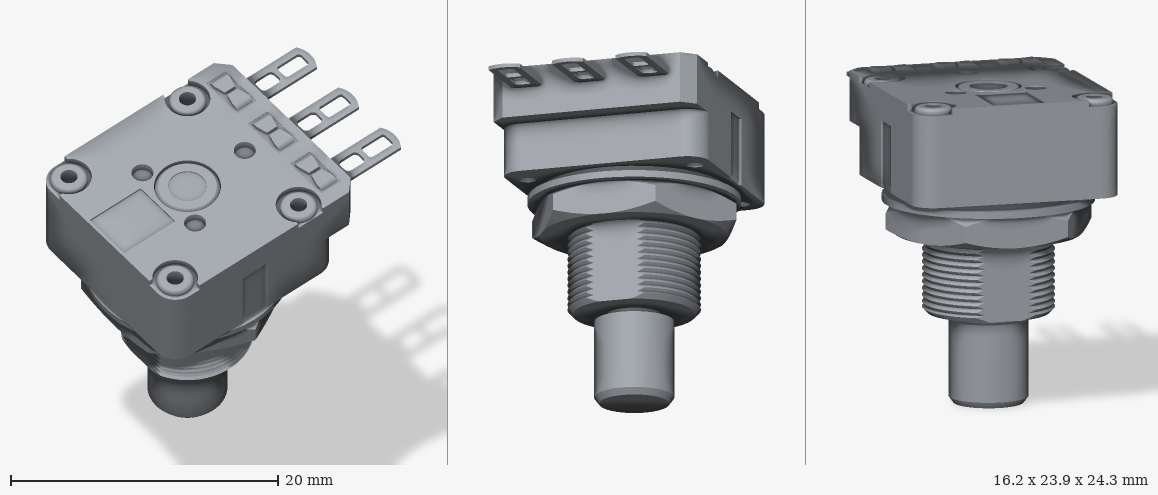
import cadquery as cq
import math


HOUSING_WIDTH = 16.1
HOUSING_LENGTH = 16.0
HALF_WIDTH = HOUSING_WIDTH / 2
HALF_LENGTH = HOUSING_LENGTH / 2
CORNER_RADIUS = 1.7
HOUSING_TOP = 5.13
SHELF_BOTTOM = 3.67
SHELF_END_Y = 10.02
SHELF_CHAMFER_X = 1.02
SHELF_CHAMFER_Y = 0.97
GROOVE_OUTER_WIDTH = 2.45
GROOVE_INNER_WIDTH = 2.05
GROOVE_DEPTH = 0.15

BOSS_DIAMETER = 14.0
BOSS_HEIGHT = 0.6
BUSHING_BOTTOM = -9.65
THREAD_DIAMETER = 10.0
THREAD_LENGTH = 5.52
THREAD_TOOTH_COUNT = 11
THREAD_PITCH = THREAD_LENGTH / THREAD_TOOTH_COUNT
THREAD_DEPTH = 0.25
THREAD_CHAMFER = 0.4
BUSHING_NECK_DIAMETER = 9.75
BUSHING_FLATS = 8.88

WASHER_OUTER_DIAMETER = 16.0
WASHER_INNER_DIAMETER = 10.3
WASHER_THICKNESS = 0.5
WASHER_TOP = -BOSS_HEIGHT
WASHER_BOTTOM = WASHER_TOP - WASHER_THICKNESS
NUT_FLATS = 14.0
NUT_HEIGHT = 2.48
NUT_BOTTOM = WASHER_BOTTOM - NUT_HEIGHT
NUT_CHAMFER_ANGLE = 30

COVER_THICKNESS = 2.38
COVER_TOP = HOUSING_TOP + COVER_THICKNESS
COVER_BORE_DIAMETER = 5.0
LABEL_WIDTH = 4.1
LABEL_LENGTH = 4.91
LABEL_CENTER_Y = -5.3
LABEL_DEPTH = 0.15
DIMPLE_TOP_DIAMETER = 1.65
DIMPLE_FLOOR_DIAMETER = 1.53
DIMPLE_DEPTH = 0.58
DIMPLE_CENTERS = [(0, 5.52), (-3.14, -1.8), (3.14, -1.8)]

POST_DIAMETER = 2.15
POST_HOLE_DIAMETER = 1.3
POST_HEAD_DIAMETER = 2.8
POST_HEAD_HEIGHT = 0.49
POST_HEAD_FILLET = 0.32
POST_RECESS_DIAMETER = 3.43
POST_RECESS_DEPTH = 0.5
FRONT_POST_X = 6.32
FRONT_POST_Y = -6.3
REAR_POST_X = 6.62
REAR_POST_Y = 5.35
FRONT_RECESS_REACH = 0.97
REAR_RECESS_HALF_WIDTH = 1.2
POST_FLOOR = COVER_TOP - POST_RECESS_DEPTH
SIDES = (-1, 1)
POST_CENTERS = [
    (side * x, y)
    for side in SIDES
    for x, y in ((FRONT_POST_X, FRONT_POST_Y), (REAR_POST_X, REAR_POST_Y))
]

SHAFT_DIAMETER = 6.0
SHAFT_TOP = -10.2
SHAFT_BOTTOM = -16.55
SHAFT_CHAMFER_WIDTH = 0.36
SHAFT_CHAMFER_HEIGHT = 0.49
SHAFT_NECK_DIAMETER = 4.0
SHAFT_COLLAR_DIAMETER = 4.13
SHAFT_COLLAR_FILLET = 0.25
SHAFT_HEAD_DIAMETER = 4.9
SHAFT_HEAD_CHAMFER = 0.25
SHAFT_SOCKET_DIAMETER = 2.9
SHAFT_SOCKET_DEPTH = 0.1

TERMINAL_PITCH = 5.0
TERMINAL_BOTTOM = 5.85
SHEET_THICKNESS = 0.3
LUG_WIDTH = 2.45
LUG_START_Y = 10.35
LUG_SIDE_END_Y = 15.52
LUG_TIP_Y = 15.9
NECK_WIDTH = 1.8
NECK_SHOULDER = (LUG_WIDTH - NECK_WIDTH) / 2
SLOT_WIDTH = 1.25
LONG_SLOT_LENGTH = 2.24
LONG_SLOT_CENTER_Y = 14.2
LONG_SLOT_RADIUS = 0.25
SHORT_SLOT_LENGTH = 1.8
SHORT_SLOT_CENTER_Y = 11.77
SHORT_SLOT_RADIUS = 0.4
WINDOW_WIDTH = 3.7
WINDOW_LENGTH = 1.87
WINDOW_CENTER_Y = 8.27
CLIP_WIDTH = 3.35
CLIP_LENGTH = 1.5
CLIP_RISE = 0.25
CLIP_TOP = COVER_TOP + CLIP_RISE
WING_BOTTOM = CLIP_TOP - SHEET_THICKNESS
CLIP_BEND_RADIUS = 0.44
WING_GAP = 0.3
WING_TIP_LENGTH = 1.0
WING_TAPER_START_X = 1.12
TERMINAL_XS = [index * TERMINAL_PITCH for index in (-1, 0, 1)]


def cylinder(diameter, bottom, top, center=(0, 0)):
    """A vertical cylinder between two heights."""
    return cq.Workplane("XY", origin=(*center, bottom)).circle(diameter / 2).extrude(top - bottom)


def box(width, length, bottom, top, center=(0, 0)):
    """An upright box between two heights."""
    return cq.Workplane("XY", origin=(*center, bottom)).rect(width, length).extrude(top - bottom)


def revolved(points):
    """A solid of revolution about Z from (radius, height) points."""
    return cq.Workplane("XZ").polyline(points).close().revolve(360, (0, 0), (0, 1))


def shelf_plate(bottom, top):
    """A plate with rounded front corners and chamfered rear corners."""
    length = SHELF_END_Y + HALF_LENGTH
    center_y = (SHELF_END_Y - HALF_LENGTH) / 2
    plate = box(HOUSING_WIDTH, length, bottom, top, (0, center_y))
    plate = plate.edges("|Z and <Y").fillet(CORNER_RADIUS)
    for side in SIDES:
        corner = (
            cq.Workplane("XY", origin=(side * HALF_WIDTH, SHELF_END_Y, bottom))
            .polyline([(0, 0), (-side * SHELF_CHAMFER_X, 0), (0, -SHELF_CHAMFER_Y)])
            .close()
            .extrude(top - bottom)
        )
        plate = plate.cut(corner)
    return plate


def side_groove(side):
    """A shallow groove with sloping walls, from top to bottom of one side of the housing."""
    half_outer = GROOVE_OUTER_WIDTH / 2
    half_inner = GROOVE_INNER_WIDTH / 2
    outer_x = side * HALF_WIDTH
    inner_x = side * (HALF_WIDTH - GROOVE_DEPTH)
    outline = [(outer_x, -half_outer), (inner_x, -half_inner), (inner_x, half_inner), (outer_x, half_outer)]
    return cq.Workplane("XY").polyline(outline).close().extrude(HOUSING_TOP)


def make_bushing():
    """The boss and the bushing with ring-shaped thread teeth, two flats and no bore."""
    thread_radius = THREAD_DIAMETER / 2
    root_radius = thread_radius - THREAD_DEPTH
    neck_radius = BUSHING_NECK_DIAMETER / 2
    profile = [
        (0, 0),
        (BOSS_DIAMETER / 2, 0),
        (BOSS_DIAMETER / 2, -BOSS_HEIGHT),
        (neck_radius, -BOSS_HEIGHT),
        (neck_radius, NUT_BOTTOM),
        (root_radius, NUT_BOTTOM),
    ]
    chamfer_top = BUSHING_BOTTOM + THREAD_CHAMFER
    for tooth in range(THREAD_TOOTH_COUNT):
        tooth_top = NUT_BOTTOM - tooth * THREAD_PITCH
        profile.append((thread_radius, tooth_top - THREAD_PITCH / 2))
        profile.append((root_radius, tooth_top - THREAD_PITCH))
    profile += [
        (thread_radius, chamfer_top),
        (thread_radius - THREAD_CHAMFER, BUSHING_BOTTOM),
        (0, BUSHING_BOTTOM),
    ]
    bushing = revolved(profile)
    flats = box(THREAD_DIAMETER, BUSHING_FLATS, BUSHING_BOTTOM, -BOSS_HEIGHT)
    boss = cylinder(BOSS_DIAMETER, -BOSS_HEIGHT, 0)
    return bushing.intersect(flats.union(boss))


def staked_post(center):
    """A post with a flared, rounded head that lies in its recess in the cover."""
    head = cylinder(POST_HEAD_DIAMETER, POST_FLOOR, POST_FLOOR + POST_HEAD_HEIGHT, center)
    head = head.faces(">Z").edges().fillet(POST_HEAD_FILLET)
    return cylinder(POST_DIAMETER, HOUSING_TOP, POST_FLOOR, center).union(head)


def make_housing():
    """The housing block with its shelf, bushing, side grooves and hollow posts."""
    housing = box(HOUSING_WIDTH, HOUSING_LENGTH, 0, HOUSING_TOP).edges("|Z").fillet(CORNER_RADIUS)
    housing = housing.union(shelf_plate(SHELF_BOTTOM, HOUSING_TOP))
    for side in SIDES:
        housing = housing.cut(side_groove(side))
    housing = housing.union(make_bushing())
    for center in POST_CENTERS:
        housing = housing.union(staked_post(center))
    for center in POST_CENTERS:
        housing = housing.cut(cylinder(POST_HOLE_DIAMETER, 0, COVER_TOP, center))
    return housing.cut(cylinder(SHAFT_NECK_DIAMETER, BUSHING_BOTTOM, HOUSING_TOP))


def post_recess(side, x, y):
    """A round recess at a post, opened to the nearest outer edges of the cover."""
    recess = cylinder(POST_RECESS_DIAMETER, POST_FLOOR, COVER_TOP, (side * x, y))
    if y > 0:
        opening_width = HALF_WIDTH - x
        opening_center = (side * (x + opening_width / 2), y)
        opening = box(opening_width, 2 * REAR_RECESS_HALF_WIDTH, POST_FLOOR, COVER_TOP, opening_center)
    else:
        opening_width = HALF_WIDTH - x + FRONT_RECESS_REACH
        opening_length = HALF_LENGTH + y + FRONT_RECESS_REACH
        opening_center = (side * (HALF_WIDTH - opening_width / 2), opening_length / 2 - HALF_LENGTH)
        opening = box(opening_width, opening_length, POST_FLOOR, COVER_TOP, opening_center)
    return recess.union(opening)


def dimple(center):
    """A tapered blind hole in the top of the cover."""
    return (
        cq.Workplane("XY", origin=(*center, COVER_TOP))
        .circle(DIMPLE_TOP_DIAMETER / 2)
        .workplane(offset=-DIMPLE_DEPTH)
        .circle(DIMPLE_FLOOR_DIAMETER / 2)
        .loft()
    )


def make_cover():
    """The cover plate with its bore, post holes, dimples, label pocket and terminal seats."""
    cover = shelf_plate(HOUSING_TOP, COVER_TOP)
    cover = cover.cut(cylinder(COVER_BORE_DIAMETER, HOUSING_TOP, COVER_TOP))
    for center in POST_CENTERS:
        cover = cover.cut(cylinder(POST_DIAMETER, HOUSING_TOP, COVER_TOP, center))
    for side in SIDES:
        cover = cover.cut(post_recess(side, FRONT_POST_X, FRONT_POST_Y))
        cover = cover.cut(post_recess(side, REAR_POST_X, REAR_POST_Y))
    for center in DIMPLE_CENTERS:
        cover = cover.cut(dimple(center))
    label = box(LABEL_WIDTH, LABEL_LENGTH, COVER_TOP - LABEL_DEPTH, COVER_TOP, (0, LABEL_CENTER_Y))
    cover = cover.cut(label)
    for x in TERMINAL_XS:
        cover = cover.cut(box(WINDOW_WIDTH, WINDOW_LENGTH, WING_BOTTOM, COVER_TOP, (x, WINDOW_CENTER_Y)))
        cover = cover.cut(make_terminal(x))
    return cover


def shaft_collar():
    """A short collar between the shaft and the bushing, with a concave fillet at its foot."""
    radius = SHAFT_COLLAR_DIAMETER / 2
    arc_radius = radius + SHAFT_COLLAR_FILLET
    arc_height = SHAFT_TOP + SHAFT_COLLAR_FILLET
    arc_inset = SHAFT_COLLAR_FILLET * math.sqrt(0.5)
    return (
        cq.Workplane("XZ")
        .moveTo(0, SHAFT_TOP)
        .lineTo(arc_radius, SHAFT_TOP)
        .threePointArc((arc_radius - arc_inset, arc_height - arc_inset), (radius, arc_height))
        .lineTo(radius, BUSHING_BOTTOM)
        .lineTo(0, BUSHING_BOTTOM)
        .close()
        .revolve(360, (0, 0), (0, 1))
    )


def make_shaft():
    """The shaft: a thick lower end, a flared collar, a neck through the bushing and a head in the cover."""
    shaft_radius = SHAFT_DIAMETER / 2
    neck_radius = SHAFT_NECK_DIAMETER / 2
    head_radius = SHAFT_HEAD_DIAMETER / 2
    socket_radius = SHAFT_SOCKET_DIAMETER / 2
    shaft = revolved([
        (0, SHAFT_BOTTOM),
        (shaft_radius - SHAFT_CHAMFER_WIDTH, SHAFT_BOTTOM),
        (shaft_radius, SHAFT_BOTTOM + SHAFT_CHAMFER_HEIGHT),
        (shaft_radius, SHAFT_TOP),
        (neck_radius, SHAFT_TOP),
        (neck_radius, HOUSING_TOP),
        (head_radius, HOUSING_TOP),
        (head_radius, COVER_TOP - SHAFT_HEAD_CHAMFER),
        (head_radius - SHAFT_HEAD_CHAMFER, COVER_TOP),
        (socket_radius, COVER_TOP),
        (socket_radius, COVER_TOP - SHAFT_SOCKET_DEPTH),
        (0, COVER_TOP - SHAFT_SOCKET_DEPTH),
    ])
    return shaft.union(shaft_collar())


def make_washer():
    """A flat washer under the boss."""
    washer = cylinder(WASHER_OUTER_DIAMETER, WASHER_BOTTOM, WASHER_TOP)
    return washer.cut(cylinder(WASHER_INNER_DIAMETER, WASHER_BOTTOM, WASHER_TOP))


def make_nut():
    """A hexagonal nut with corners on the X axis, chamfered on both faces."""
    corner_diameter = NUT_FLATS / math.cos(math.radians(30))
    hexagon = cq.Workplane("XY", origin=(0, 0, NUT_BOTTOM)).polygon(6, corner_diameter).extrude(NUT_HEIGHT)
    face_radius = NUT_FLATS / 2
    corner_radius = corner_diameter / 2
    chamfer_height = (corner_radius - face_radius) * math.tan(math.radians(NUT_CHAMFER_ANGLE))
    chamfered_blank = revolved([
        (0, NUT_BOTTOM),
        (face_radius, NUT_BOTTOM),
        (corner_radius, NUT_BOTTOM + chamfer_height),
        (corner_radius, WASHER_BOTTOM - chamfer_height),
        (face_radius, WASHER_BOTTOM),
        (0, WASHER_BOTTOM),
    ])
    bore = cylinder(BUSHING_NECK_DIAMETER, NUT_BOTTOM, WASHER_BOTTOM)
    return hexagon.intersect(chamfered_blank).cut(bore)


def lug_slot(center_y, length, radius):
    """A rounded rectangular slot through the lug."""
    slot = box(SLOT_WIDTH, length, TERMINAL_BOTTOM, TERMINAL_BOTTOM + SHEET_THICKNESS, (0, center_y))
    return slot.edges("|Z").fillet(radius)


def make_lug():
    """The flat lug with its round tip, two slots and the neck that leads to the clip."""
    half_lug = LUG_WIDTH / 2
    half_neck = NECK_WIDTH / 2
    lug = (
        cq.Workplane("XY", origin=(0, 0, TERMINAL_BOTTOM))
        .moveTo(-half_neck, WINDOW_CENTER_Y)
        .lineTo(-half_neck, LUG_START_Y - NECK_SHOULDER)
        .lineTo(-half_lug, LUG_START_Y)
        .lineTo(-half_lug, LUG_SIDE_END_Y)
        .threePointArc((0, LUG_TIP_Y), (half_lug, LUG_SIDE_END_Y))
        .lineTo(half_lug, LUG_START_Y)
        .lineTo(half_neck, LUG_START_Y - NECK_SHOULDER)
        .lineTo(half_neck, WINDOW_CENTER_Y)
        .close()
        .extrude(SHEET_THICKNESS)
    )
    lug = lug.cut(lug_slot(LONG_SLOT_CENTER_Y, LONG_SLOT_LENGTH, LONG_SLOT_RADIUS))
    return lug.cut(lug_slot(SHORT_SLOT_CENTER_Y, SHORT_SLOT_LENGTH, SHORT_SLOT_RADIUS))


def wing_gap():
    """The space between the tapered tips of the two wings of the clip."""
    half_length = CLIP_LENGTH / 2
    half_tip = WING_TIP_LENGTH / 2
    half_gap = WING_GAP / 2
    outline = [
        (-WING_TAPER_START_X, half_length),
        (-half_gap, half_tip),
        (-half_gap, -half_tip),
        (-WING_TAPER_START_X, -half_length),
        (WING_TAPER_START_X, -half_length),
        (half_gap, -half_tip),
        (half_gap, half_tip),
        (WING_TAPER_START_X, half_length),
    ]
    gap = cq.Workplane("XY", origin=(0, WINDOW_CENTER_Y, WING_BOTTOM)).polyline(outline).close()
    return gap.extrude(SHEET_THICKNESS)


def make_terminal(x):
    """One terminal: the lug and a clip whose wings are bent up and folded towards each other."""
    center = (0, WINDOW_CENTER_Y)
    clip = box(CLIP_WIDTH, CLIP_LENGTH, TERMINAL_BOTTOM, CLIP_TOP, center)
    clip = clip.edges("|Y and >Z").fillet(CLIP_BEND_RADIUS)
    hollow_width = CLIP_WIDTH - 2 * SHEET_THICKNESS
    hollow = box(hollow_width, CLIP_LENGTH, TERMINAL_BOTTOM + SHEET_THICKNESS, WING_BOTTOM, center)
    hollow = hollow.edges("|Y and >Z").fillet(CLIP_BEND_RADIUS - SHEET_THICKNESS)
    clip = clip.cut(hollow).cut(wing_gap())
    return clip.union(make_lug()).translate((x, 0, 0))


housing = make_housing()
cover = make_cover()
shaft = make_shaft()
washer = make_washer()
nut = make_nut()
terminals = [make_terminal(x).val() for x in TERMINAL_XS]

result = cq.Compound.makeCompound(
    [housing.val(), cover.val(), shaft.val(), washer.val(), nut.val(), *terminals]
)